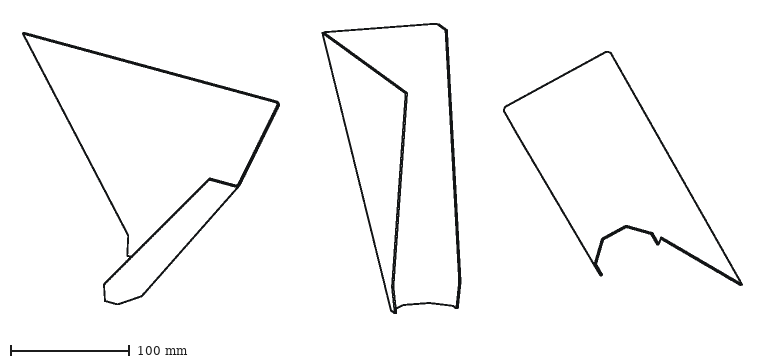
import cadquery as cq

thickness = 1.5
inner_bend_radius = 1.2
height = 215.98

top_back_x = 229.27
bottom_back_x = 128.3
top_half_width = 50.03
bottom_half_width = 26.5
top_gusset_leg = 1.5
bottom_gusset_leg = 15.5

long_wall_tip_x = 0.0
wall_corner_x = 102.2
wall_corner_depth = 193.0
short_wall_tip_x = 2 * wall_corner_x - long_wall_tip_x

tolerance = 1e-3


def rim_points(back_x, half_width, gusset_leg):
    """Outline of the channel interior at one level, open side at the long wall tip."""
    return [
        (long_wall_tip_x, -half_width),
        (back_x - gusset_leg, -half_width),
        (back_x, -half_width + gusset_leg),
        (back_x, half_width - gusset_leg),
        (back_x - gusset_leg, half_width),
        (long_wall_tip_x, half_width),
    ]


def wall_trim(tip_x, side):
    """Half of the interior to keep behind a wall's front edge; side is +1 or -1 in Y."""
    profile = [
        (tip_x, 0),
        (wall_corner_x, -wall_corner_depth),
        (wall_corner_x, -height),
        (top_back_x, -height),
        (top_back_x, 0),
    ]
    return cq.Workplane("XZ").polyline(profile).close().extrude(-side * top_half_width)


def is_bend_edge(edge):
    """True for the steep edges along the gusset panels, false for rims and the open side."""
    drop = abs(edge.startPoint().z - edge.endPoint().z)
    return drop > tolerance and edge.Center().x > wall_corner_x


def channel_interior():
    """Solid filling the channel, with its four bend edges rounded and both fronts trimmed."""
    top = rim_points(top_back_x, top_half_width, top_gusset_leg)
    bottom = rim_points(bottom_back_x, bottom_half_width, bottom_gusset_leg)
    block = (
        cq.Workplane("XY")
        .polyline(top)
        .close()
        .workplane(offset=-height)
        .polyline(bottom)
        .close()
        .loft(ruled=True)
    )
    bends = [edge for edge in block.edges().vals() if is_bend_edge(edge)]
    block = block.newObject(bends).fillet(inner_bend_radius)
    kept = wall_trim(long_wall_tip_x, 1).union(wall_trim(short_wall_tip_x, -1))
    return block.intersect(kept)


def is_sheet_face(face):
    """True for panels and bends, false for rims, front cuts and the middle step."""
    normal = face.normalAt()
    is_rim = abs(normal.z) > 1 - tolerance
    is_front_cut = normal.x < -tolerance
    is_middle_step = abs(face.Center().y) < tolerance and abs(normal.y) > 1 - tolerance
    return not (is_rim or is_front_cut or is_middle_step)


def folded_sheet():
    """Thicken the inner skin outwards; its edges stay square to each panel."""
    sheet_faces = [face for face in channel_interior().faces().vals() if is_sheet_face(face)]
    skin = cq.Shell.makeShell(sheet_faces)
    return cq.occ_impl.shapes.offset(skin, thickness)


result = cq.Workplane("XY").newObject([folded_sheet()])